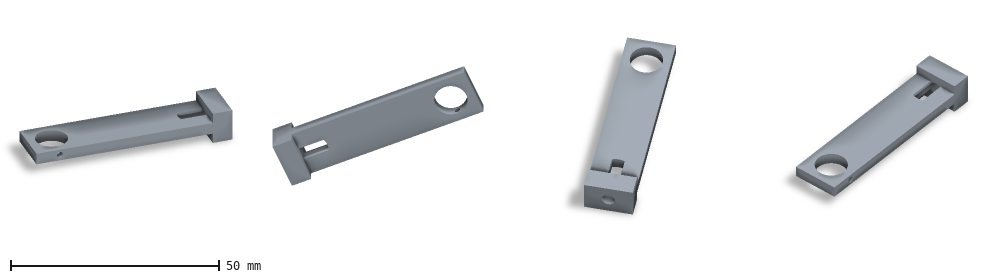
import cadquery as cq
import math

length = 50.0
width = 12.0
head_height = 8.0
head_length = 5.0
blade_thickness = 2.9

eye_diameter = 8.0
eye_y = -length / 2 + width / 2
cross_hole_diameter = 1.55

bore_diameter = 3.25
window_width = 3.15
throat_width = 2.85
window_end_radius = 4.0
window_end_y = 13.2

head_face_y = length / 2 - head_length


def make_body():
    """Blade and head, centred on the origin."""
    blade = cq.Workplane("XY").box(width, length, blade_thickness)
    head = (
        cq.Workplane("XY")
        .box(width, head_length, head_height)
        .translate((0, length / 2 - head_length / 2, 0))
    )
    return blade.union(head)


def make_rounded_end():
    """Plan shape that closes the window and bore with a shallow vertical arc."""
    half_chord = bore_diameter / 2
    end_rise = window_end_radius - math.sqrt(window_end_radius**2 - half_chord**2)
    corner_y = window_end_y + end_rise
    return (
        cq.Workplane("XY", origin=(0, 0, -head_height / 2))
        .moveTo(-half_chord, length / 2)
        .lineTo(-half_chord, corner_y)
        .threePointArc((0, window_end_y), (half_chord, corner_y))
        .lineTo(half_chord, length / 2)
        .close()
        .extrude(head_height)
    )


def make_window():
    """Through window whose sides flare from the bore to both blade faces."""
    mouth = window_width / 2
    throat = throat_width / 2
    throat_z = math.sqrt((bore_diameter / 2) ** 2 - throat**2)
    face_z = blade_thickness / 2
    profile = [
        (-mouth, face_z),
        (mouth, face_z),
        (throat, throat_z),
        (throat, -throat_z),
        (mouth, -face_z),
        (-mouth, -face_z),
        (-throat, -throat_z),
        (-throat, throat_z),
    ]
    return (
        cq.Workplane("XZ", origin=(0, head_face_y, 0))
        .polyline(profile)
        .close()
        .extrude(head_face_y - window_end_y)
    )


def make_bore():
    """Bore along Y from the +Y end to the end of the window."""
    return (
        cq.Workplane("XZ", origin=(0, length / 2, 0))
        .circle(bore_diameter / 2)
        .extrude(length / 2 - window_end_y)
    )


def make_eye():
    """Vertical through hole at the free end."""
    return (
        cq.Workplane("XY", origin=(0, eye_y, -blade_thickness / 2))
        .circle(eye_diameter / 2)
        .extrude(blade_thickness)
    )


def make_cross_hole():
    """Small hole along X from the eye out through the +X edge."""
    return (
        cq.Workplane("YZ")
        .center(eye_y, 0)
        .circle(cross_hole_diameter / 2)
        .extrude(width / 2)
    )


bored_window = make_bore().union(make_window()).intersect(make_rounded_end())

result = (
    make_body()
    .cut(bored_window)
    .cut(make_eye())
    .cut(make_cross_hole())
)